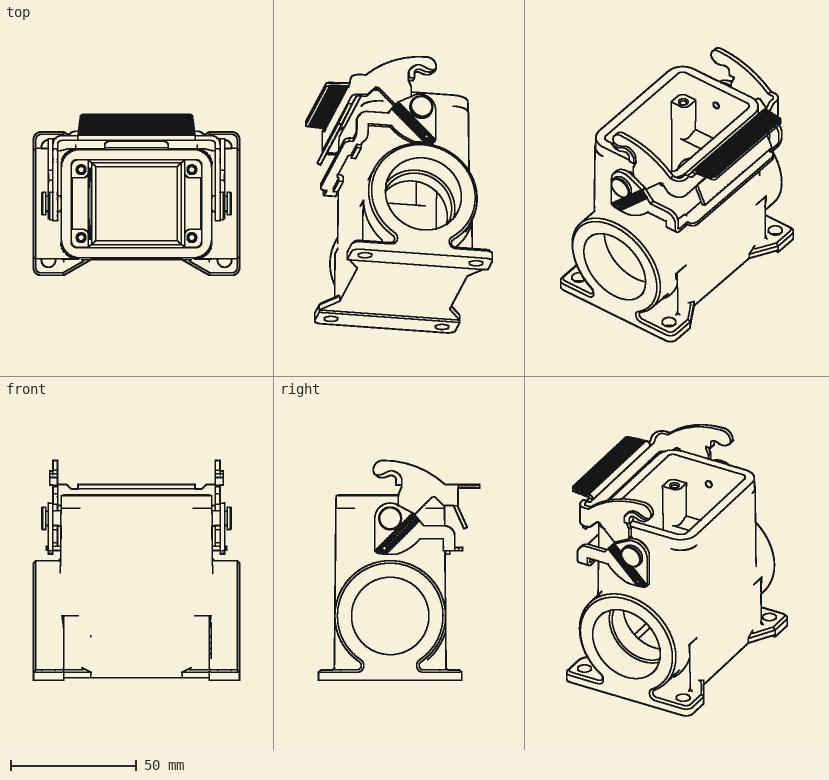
import cadquery as cq
import math



LENGTH = 82.0
BLOCK_HALF_X = 28.9
FOOT_INNER_X = BLOCK_HALF_X
FLANGE_HALF_Y = 28.5
FLANGE_TOP = 4.2
FLANGE_CORNER_R = 3.0
FOOT_WEB_X = 17.7
FOOT_RECESS = 1.0
EDGE_CHAMFER = 1.0
SCREW_X = 35.0
SCREW_Y = 22.5
SCREW_R = 2.75

BODY_CORNER_R = 7.2
COLLAR_CORNER_R = 7.35
BODY_TAPER = 0.55
COLLAR_Z = 68.5
COLLAR_TAPER = 1.5
BODY_TOP = 73.8
RIM_RISE = 0.5
RIM_BASE = BODY_TOP - RIM_RISE

TUBE_Z = 25.6
TUBE_R = 22.0
TUBE_COVER = 0.05
TUBE_ROOT_FILLET = 1.0
BLOCK_ROOT_FILLET = 0.9
NECK_FILLET = 1.7
BORE_R = 15.4
BORE_END_X = 27.5
INNER_BORE_R = 14.1

CAVITY_HALF_X = 26.0
CAVITY_HALF_Y = 17.5
CAVITY_CORNER_R = 2.5
WELL_HALF_X = 19.1
WELL_FOOT_X = 17.8
WELL_FOOT_Y = 16.3
FLOOR_Z = 4.5
FLOOR_CHAMFER = 1.6
LEDGE_WALL_Z = 46.7
LEDGE_SLOPE = 15.0
POST_TOP = 61.8
POST_LENGTH_Y = 7.3
POST_INNER_Y = CAVITY_HALF_Y - POST_LENGTH_Y
POST_EDGE_R = 2.4
POST_HOLE_X = 22.0
POST_HOLE_Y = 13.5
POST_HOLE_R = 1.3
POST_HOLE_DEPTH = 10.0
POST_HOLE_CHAMFER = 0.6
POST_SINK_R = POST_HOLE_R + POST_HOLE_CHAMFER
POST_SINK_ANGLE = 90.0

PLATE = 1.9
HOOK_LEVER_X = 31.3
LOCK_LEVER_X = HOOK_LEVER_X + PLATE
PIVOT_Z = 64.4
PIN_R = 3.05
PIN_NECK_R = 2.9
PIN_HEAD_X = 36.0
PIN_HEAD_T = 1.6
PIN_HEAD_R = 4.5
PIN_HEAD_CHAMFER = 0.3
PIN_TIP_R = 1.4
PIN_TIP_OUT = 0.4

HOOK_TOP = 87.47
LEVER_BACK_Y = 27.0
LEVER_BEND_R = 3.4
BAR_BOTTOM = 69.5
BAR_TOP = 76.1
BAR_CORNER_TOP = 77.9
BAR_CORNER_X = 27.8
BAR_STEP_R = 1.0
BAR_STEP = BAR_CORNER_TOP - BAR_TOP
GRIP_END_Y = 35.5
GRIP_HALF_X = 23.3
GRIP_END_HALF_X = 22.2
GRIP_T = 1.5
GRIP_CORNER_R = 1.2
GRIP_BEND_R = 2.2
TOP_GROOVES = 8
UNDER_GROOVES = 7
GROOVE_PITCH = 1.05
GROOVE_FIRST_Y = 27.5
GROOVE_WIDTH = 0.5
TOP_GROOVE_DEPTH = 0.15
UNDER_GROOVE_DEPTH = 0.3
TAB_HALF_X = 22.0
TAB_T = 1.5
TAB_REACH_Y = 4.2
TAB_DROP = 9.3
HOOK_LIP_OUT = 1.3
LIP_END_Z = 77.6
HOOK_ARCH_END_Y = 21.8
HOOK_ARCH_TOP_Y = -2.8
HOOK_TIP_R = 4.0

HOOK_MOUTH = [(4.55, 80.2), (3.2, 82.2), (0.2, 83.3), (-2.3, 82.3), (-6.4, 82.1)]
HOOK_LIP_INNER = [(-4.7, 80.8), (-3.2, 80.5), (-1.8, 80.7), (0.0, 81.4), (1.7, 81.0), (2.3, 79.8)]
HOOK_FRONT = [(4.55, 77.0), (3.3, 74.1), (3.3, 70.0), (-1.5, 61.5), (-5.0, 59.9), (-5.0, 54.7)]
HOOK_ARM_BOTTOM = (-0.5, 53.2)
HOOK_BACK = [(4.0, 54.7), (4.0, 60.2), (16.6, 72.8), (17.7, 73.0), (21.2, BAR_BOTTOM)]

LOCK_PLATE_BOTTOM = 51.5
LOCK_PLATE_T = 1.4
LOCK_BACK_Y = 25.7
LOCK_LIP_INNER_Y = 21.9
LOCK_PLATE_END_Y = 21.1
LOCK_BEND_R = 3.1
LOCK_BEND_TOP = LOCK_PLATE_BOTTOM + LOCK_BEND_R
LOCK_BOSS_R = 6.1
LOCK_BOSS_START_ANGLE = 57.0
LOCK_ARM_TOP = 61.5
LOCK_ARM_BOTTOM = 56.3
LOCK_ARM_ROUND = [(LOCK_BACK_Y, 57.9), (24.5, 60.2), (21.8, LOCK_ARM_TOP)]
LOCK_BOSS_RAMP = [(13.3, LOCK_ARM_TOP), (9.2, 66.4)]
LOCK_TOE = [(-LOCK_BOSS_R, 51.5), (-5.0, 50.5), (-2.0, 50.1), (2.5, 50.1)]
LOCK_HEEL_MID = (7.8, 52.6)
LOCK_HEEL_END = (11.9, LOCK_ARM_BOTTOM)
LOCK_RELIEF_OUTER_X = 30.0
LOCK_RELIEF_INNER_X = 26.5
LOCK_TONGUE_ROUND_MID = (25.9, 28.3)
LOCK_TONGUE_ROUND_END_Y = 27.2
LOCK_TONGUE_Y = 28.8
LOCK_TONGUE_X = 24.5
LOCK_TONGUE_ROOT_X = 27.0
LOCK_LIP_HALF_X = 24.2
LOCK_LIP_BOTTOM = 50.1
LOCK_LIP_T = 1.8
LOCK_SLOT_X = 12.6
LOCK_SLOT_Y = 24.7
LOCK_SLOT_R = 1.5
SPRING_PIN_Y = -2.3
SPRING_PIN_Z = 52.5
SPRING_PIN_R = 0.85
SPRING_PIN_START = 30.0
SPRING_PIN_END = 35.8
BAND_TOP_Y = 10.5
BAND_TOP_Z = 65.2
BAND_LENGTH = 22.5
BAND_WIDTH = 4.0
BAND_LINES = (-1.9, -1.4, -0.5, 0.5, 1.4, 1.9)
BAND_ANGLE = 45.0
BAND_GROOVE_WIDTH = 0.25
BAND_GROOVE_DEPTH = 0.2

HALF_LENGTH = LENGTH / 2

PICK = 0.1

FILLET_SLACK = 0.001

BODY_HALF_X = 30.4
BODY_HALF_Y = TUBE_R + TUBE_COVER


def box(x0, x1, y0, y1, z0, z1):
    return cq.Workplane("XY").box(x1 - x0, y1 - y0, z1 - z0, centered=False).translate((x0, y0, z0))


def side_profile(x):
    """Sketch plane at X = x whose local axes are Y and Z; extrusion runs toward +X."""
    return cq.Workplane("YZ", origin=(x, 0, 0))


def x_cylinder(radius, x0, x1, y, z):
    return side_profile(x0).center(y, z).circle(radius).extrude(x1 - x0)


def both_sides(solid):
    return solid.union(solid.mirror("YZ"))



def rounded_prism(half_x, half_y, corner_r, z0, z1, taper=0):
    base = cq.Sketch().rect(2 * half_x, 2 * half_y).vertices().fillet(corner_r)
    return cq.Workplane("XY", origin=(0, 0, z0)).placeSketch(base).extrude(z1 - z0, taper=taper)


def make_flange():
    right = [
        (FOOT_WEB_X, BODY_HALF_Y),
        (FOOT_INNER_X, FLANGE_HALF_Y),
        (HALF_LENGTH, FLANGE_HALF_Y),
        (HALF_LENGTH, -FLANGE_HALF_Y),
        (FOOT_INNER_X, -FLANGE_HALF_Y),
        (FOOT_WEB_X, -BODY_HALF_Y),
    ]
    left = [(-x, -y) for x, y in right]
    plate = cq.Workplane("XY").polyline(right + left).close().extrude(FLANGE_TOP)
    for end in ("<X", ">X"):
        plate = plate.faces(end).edges("|Z").fillet(FLANGE_CORNER_R)
    return plate.faces(">Z").edges().chamfer(EDGE_CHAMFER)


def make_tube():
    """Tube on the +X side; its neck flares into the flange through two concave arcs."""
    arc_z = FLANGE_TOP + NECK_FILLET
    centre_distance = TUBE_R + NECK_FILLET
    arc_y = math.sqrt(centre_distance**2 - (TUBE_Z - arc_z) ** 2)
    tangent_y = arc_y * TUBE_R / centre_distance
    tangent_z = TUBE_Z + (arc_z - TUBE_Z) * TUBE_R / centre_distance
    mid_y = arc_y - NECK_FILLET
    neck_bottom = FLANGE_TOP - EDGE_CHAMFER
    tube = (
        side_profile(0)
        .moveTo(-arc_y, neck_bottom)
        .lineTo(-arc_y, FLANGE_TOP)
        .threePointArc((-mid_y, arc_z), (-tangent_y, tangent_z))
        .threePointArc((0, TUBE_Z + TUBE_R), (tangent_y, tangent_z))
        .threePointArc((mid_y, arc_z), (arc_y, FLANGE_TOP))
        .lineTo(arc_y, neck_bottom)
        .close()
        .extrude(HALF_LENGTH)
    )
    return tube.faces(">X").edges("%CIRCLE").chamfer(EDGE_CHAMFER)


def body_shrink(z):
    """How far the drafted walls have moved inward at height z, from the tube axis up."""
    shrink = (min(z, COLLAR_Z) - TUBE_Z) * math.tan(math.radians(BODY_TAPER))
    if z > COLLAR_Z:
        shrink += (z - COLLAR_Z) * math.tan(math.radians(COLLAR_TAPER))
    return shrink


def make_body_section(z0, z1, corner_r, taper):
    shrink = body_shrink(z0)
    return rounded_prism(BODY_HALF_X - shrink, BODY_HALF_Y - shrink, corner_r, z0, z1, taper)


def make_block():
    """Square-cornered lower part; its front and back continue the drafted body walls."""
    foot_y = BODY_HALF_Y - body_shrink(FOOT_RECESS)
    return (
        side_profile(-BLOCK_HALF_X)
        .moveTo(-foot_y, FOOT_RECESS)
        .lineTo(foot_y, FOOT_RECESS)
        .lineTo(BODY_HALF_Y, TUBE_Z)
        .lineTo(-BODY_HALF_Y, TUBE_Z)
        .close()
        .extrude(2 * BLOCK_HALF_X)
    )


def make_rim():
    """Shallow crowned bead around the mouth of the body."""
    shrink = body_shrink(RIM_BASE)
    outer_y = BODY_HALF_Y - shrink
    half_width = (outer_y - CAVITY_HALF_Y) / 2
    path_x = BODY_HALF_X - shrink - half_width
    path_y = outer_y - half_width
    path_r = COLLAR_CORNER_R - (shrink - body_shrink(COLLAR_Z)) - half_width
    path = cq.Workplane("XY", origin=(0, 0, RIM_BASE)).rect(2 * path_x, 2 * path_y).val()
    path = path.fillet2D(path_r, path.Vertices())
    return (
        cq.Workplane("YZ", origin=(0, -path_y, RIM_BASE))
        .moveTo(-half_width, 0)
        .threePointArc((0, RIM_RISE), (half_width, 0))
        .close()
        .sweep(path)
    )


def make_post(side_x, side_y):
    post = box(WELL_HALF_X, CAVITY_HALF_X, POST_INNER_Y, CAVITY_HALF_Y, FLANGE_TOP, POST_TOP)
    post = post.edges("|Z and <X and <Y").fillet(POST_EDGE_R)
    if side_x < 0:
        post = post.mirror("YZ")
    if side_y < 0:
        post = post.mirror("XZ")
    return post


def make_cavity():
    """Mouth with corner posts and sloping ledges, above a drafted well with a chamfered floor."""
    ledge_drop = (CAVITY_HALF_X - WELL_HALF_X) * math.tan(math.radians(LEDGE_SLOPE))
    ledge_low_z = LEDGE_WALL_Z - ledge_drop
    foot_z = FLOOR_Z + FLOOR_CHAMFER
    draft = math.atan2(CAVITY_HALF_Y - WELL_FOOT_Y, COLLAR_Z - foot_z)
    ledge_half_y = CAVITY_HALF_Y - (COLLAR_Z - ledge_low_z) * math.tan(draft)
    mouth = rounded_prism(CAVITY_HALF_X, CAVITY_HALF_Y, CAVITY_CORNER_R, COLLAR_Z, BODY_TOP)
    throat = rounded_prism(
        CAVITY_HALF_X, CAVITY_HALF_Y, CAVITY_CORNER_R, COLLAR_Z, ledge_low_z, math.degrees(draft)
    )
    mouth = mouth.union(throat)
    ledge = (
        cq.Workplane("XZ", origin=(0, CAVITY_HALF_Y, 0))
        .polyline([(WELL_HALF_X, ledge_low_z), (CAVITY_HALF_X, LEDGE_WALL_Z), (CAVITY_HALF_X, ledge_low_z)])
        .close()
        .extrude(2 * CAVITY_HALF_Y)
    )
    mouth = mouth.cut(both_sides(ledge))
    for side_x in (-1, 1):
        for side_y in (-1, 1):
            mouth = mouth.cut(make_post(side_x, side_y))
    well = (
        cq.Workplane("XY", origin=(0, 0, foot_z))
        .rect(2 * WELL_FOOT_X, 2 * WELL_FOOT_Y)
        .workplane(offset=ledge_low_z - foot_z)
        .rect(2 * WELL_HALF_X, 2 * ledge_half_y)
        .loft(ruled=True)
    )
    floor = (
        cq.Workplane("XY", origin=(0, 0, FLOOR_Z))
        .rect(2 * (WELL_FOOT_X - FLOOR_CHAMFER), 2 * (WELL_FOOT_Y - FLOOR_CHAMFER))
        .workplane(offset=FLOOR_CHAMFER)
        .rect(2 * WELL_FOOT_X, 2 * WELL_FOOT_Y)
        .loft(ruled=True)
    )
    return mouth.union(well).union(floor)


def cut_post_holes(body):
    return (
        body.copyWorkplane(cq.Workplane("XY", origin=(0, 0, POST_TOP)))
        .rect(2 * POST_HOLE_X, 2 * POST_HOLE_Y, forConstruction=True)
        .vertices()
        .cskHole(2 * POST_HOLE_R, 2 * POST_SINK_R, POST_SINK_ANGLE, POST_HOLE_DEPTH)
    )


def cut_bores(body):
    """Both tubes are bored; only the -X bore opens into the cavity."""
    bore = x_cylinder(BORE_R, BORE_END_X, HALF_LENGTH, 0, TUBE_Z)
    opening = x_cylinder(INNER_BORE_R, -BORE_END_X, 0, 0, TUBE_Z)
    return body.cut(both_sides(bore)).cut(opening)


def make_block_root():
    """Fillet strip between the +X side of the block and the tube, its neck and the flange."""
    wall = box(0, BLOCK_HALF_X, -LENGTH, LENGTH, 0, LENGTH)
    floor = box(0, HALF_LENGTH, -LENGTH, LENGTH, 0, FLANGE_TOP)
    corner = wall.union(floor).union(make_tube())
    seam = cq.selectors.BoxSelector(
        (BLOCK_HALF_X - PICK, -LENGTH, FLANGE_TOP - PICK),
        (BLOCK_HALF_X + PICK, LENGTH, TUBE_Z + TUBE_R),
    )
    corner = corner.edges(seam).fillet(BLOCK_ROOT_FILLET)
    return corner.intersect(
        box(BLOCK_HALF_X, BLOCK_HALF_X + BLOCK_ROOT_FILLET, -BODY_HALF_Y, BODY_HALF_Y, FLANGE_TOP / 2, TUBE_Z)
    )


def fillet_flange_webs(body):
    """Fillets where the flange meets the front and back of the block."""
    for side in (-1, 1):
        wall_y = side * (BODY_HALF_Y - body_shrink(FLANGE_TOP))
        region = cq.selectors.BoxSelector(
            (-BLOCK_HALF_X, wall_y - PICK, FLANGE_TOP - PICK),
            (BLOCK_HALF_X, wall_y + PICK, FLANGE_TOP + PICK),
        )
        body = body.edges(region).fillet(BLOCK_ROOT_FILLET)
    return body


def fillet_tube_roots(body):
    """Fillets where the tubes meet the drafted body above the block."""
    for side in (-1, 1):
        region = cq.selectors.BoxSelector(
            (side * (BODY_HALF_X - BODY_CORNER_R), -BODY_HALF_Y, TUBE_Z + PICK),
            (side * (BODY_HALF_X + PICK), BODY_HALF_Y, TUBE_Z + TUBE_R + PICK),
        )
        body = body.edges(region).edges("not %LINE").fillet(TUBE_ROOT_FILLET)
    return body


def make_housing():
    body = make_flange().union(both_sides(make_tube())).union(make_block())
    body = fillet_flange_webs(body)
    body = body.union(make_body_section(TUBE_Z, COLLAR_Z, BODY_CORNER_R, BODY_TAPER))
    body = fillet_tube_roots(body)
    body = body.union(both_sides(make_block_root()))
    body = body.union(make_body_section(COLLAR_Z, RIM_BASE, COLLAR_CORNER_R, COLLAR_TAPER))
    body = body.union(make_rim())
    body = body.cut(make_cavity())
    body = cut_post_holes(body)
    body = cut_bores(body)
    body = body.cut(box(-FOOT_INNER_X, FOOT_INNER_X, -LENGTH, LENGTH, 0, FOOT_RECESS))
    screws = (
        cq.Workplane("XY")
        .rect(2 * SCREW_X, 2 * SCREW_Y, forConstruction=True)
        .vertices()
        .circle(SCREW_R)
        .extrude(FLANGE_TOP)
    )
    return body.cut(screws)



def make_hook_plate():
    """Side plate with an arched back, ending in a hook; its lower arm reaches past the pivot."""
    run = HOOK_ARCH_END_Y - HOOK_ARCH_TOP_Y
    drop = HOOK_TOP - BAR_CORNER_TOP
    arch_r = (run**2 + drop**2) / (2 * drop)
    half_angle = math.asin(run / arch_r) / 2
    arch_mid = (
        HOOK_ARCH_TOP_Y + arch_r * math.sin(half_angle),
        HOOK_TOP - arch_r * (1 - math.cos(half_angle)),
    )
    profile = (
        side_profile(HOOK_LEVER_X)
        .moveTo(LEVER_BACK_Y - LEVER_BEND_R, BAR_CORNER_TOP)
        .lineTo(HOOK_ARCH_END_Y, BAR_CORNER_TOP)
        .threePointArc(arch_mid, (HOOK_ARCH_TOP_Y, HOOK_TOP))
        .tangentArcPoint((-HOOK_TIP_R, -HOOK_TIP_R))
        .lineTo(*HOOK_MOUTH[-1])
        .spline(HOOK_MOUTH[-2::-1], includeCurrent=True)
    )
    for point in HOOK_FRONT:
        profile = profile.lineTo(*point)
    profile = profile.threePointArc(HOOK_ARM_BOTTOM, HOOK_BACK[0])
    for point in HOOK_BACK[1:]:
        profile = profile.lineTo(*point)
    profile = profile.lineTo(LEVER_BACK_Y - LEVER_BEND_R, BAR_BOTTOM).close()
    return profile.extrude(PLATE)


def make_hook_lip():
    """Strip bent outward along the hook's mouth."""
    lip = (
        side_profile(HOOK_LEVER_X)
        .moveTo(HOOK_MOUTH[0][0], LIP_END_Z)
        .lineTo(*HOOK_MOUTH[0])
        .spline(HOOK_MOUTH[1:], includeCurrent=True)
        .lineTo(*HOOK_LIP_INNER[0])
        .spline(HOOK_LIP_INNER[1:], includeCurrent=True)
        .lineTo(HOOK_LIP_INNER[-1][0], LIP_END_Z)
        .close()
    )
    return lip.extrude(PLATE + HOOK_LIP_OUT)


def make_crossbar():
    """Bar joining the two hook plates, with rounded bends and raised corners."""
    leg_y = LEVER_BACK_Y - LEVER_BEND_R - PLATE / 2
    inner_y = LEVER_BACK_Y - PLATE
    bar = box(-LOCK_LEVER_X, LOCK_LEVER_X, leg_y, LEVER_BACK_Y, BAR_BOTTOM, BAR_CORNER_TOP)
    bar = bar.edges("|Z and >Y").fillet(LEVER_BEND_R)
    hollow = box(-HOOK_LEVER_X, HOOK_LEVER_X, 0, inner_y, BAR_BOTTOM, BAR_CORNER_TOP)
    hollow = hollow.edges("|Z and >Y").fillet(LEVER_BEND_R - PLATE)
    top_x = BAR_CORNER_X
    low_x = BAR_CORNER_X - BAR_STEP
    dip = (
        cq.Workplane("XZ", origin=(0, LEVER_BACK_Y, 0))
        .polyline([(-top_x, BAR_CORNER_TOP), (top_x, BAR_CORNER_TOP), (low_x, BAR_TOP), (-low_x, BAR_TOP)])
        .close()
        .extrude(LEVER_BACK_Y)
    )
    dip = dip.edges("|Y and <Z").fillet(BAR_STEP_R)
    shoulders = cq.selectors.BoxSelector(
        (-top_x - PICK, 0, BAR_CORNER_TOP - PICK), (top_x + PICK, LENGTH, BAR_CORNER_TOP + PICK)
    )
    bar = bar.cut(dip).edges("|Y").edges(shoulders).fillet(BAR_STEP_R)
    return bar.cut(hollow)


def make_grip():
    """Grooved finger plate bent outward from the top of the crossbar."""
    inner_y = LEVER_BACK_Y - PLATE
    under_z = BAR_CORNER_TOP - GRIP_T
    grip = (
        side_profile(-GRIP_HALF_X)
        .moveTo(inner_y, BAR_BOTTOM)
        .lineTo(inner_y, BAR_CORNER_TOP - GRIP_BEND_R)
        .tangentArcPoint((GRIP_BEND_R, GRIP_BEND_R))
        .lineTo(GRIP_END_Y, BAR_CORNER_TOP)
        .lineTo(GRIP_END_Y, under_z)
        .lineTo(LEVER_BACK_Y, under_z)
        .lineTo(LEVER_BACK_Y, BAR_BOTTOM)
        .close()
        .extrude(2 * GRIP_HALF_X)
    )
    outline = (
        cq.Workplane("XY", origin=(0, 0, BAR_BOTTOM))
        .polyline(
            [
                (-GRIP_HALF_X, inner_y),
                (GRIP_HALF_X, inner_y),
                (GRIP_HALF_X, LEVER_BACK_Y),
                (GRIP_END_HALF_X, GRIP_END_Y),
                (-GRIP_END_HALF_X, GRIP_END_Y),
                (-GRIP_HALF_X, LEVER_BACK_Y),
            ]
        )
        .close()
        .extrude(BAR_CORNER_TOP - BAR_BOTTOM)
    )
    outline = outline.faces(">Y").edges("|Z").fillet(GRIP_CORNER_R)
    grip = grip.intersect(outline)
    grip = cut_grooves(grip, TOP_GROOVES, BAR_CORNER_TOP - TOP_GROOVE_DEPTH, TOP_GROOVE_DEPTH)
    return cut_grooves(grip, UNDER_GROOVES, under_z, UNDER_GROOVE_DEPTH)


def cut_grooves(grip, count, bottom_z, depth):
    for index in range(count):
        y = GROOVE_FIRST_Y + index * GROOVE_PITCH
        groove = box(
            -GRIP_HALF_X,
            GRIP_HALF_X,
            y - GROOVE_WIDTH / 2,
            y + GROOVE_WIDTH / 2,
            bottom_z,
            bottom_z + depth,
        )
        grip = grip.cut(groove)
    return grip


def make_tab():
    """Flap slanting down and outward from the underside of the crossbar."""
    length = math.hypot(TAB_REACH_Y, TAB_DROP)
    end_y = TAB_T * TAB_DROP / length
    end_z = TAB_T * TAB_REACH_Y / length
    inner_y = LEVER_BACK_Y - PLATE
    tip = (inner_y + TAB_REACH_Y, BAR_BOTTOM - TAB_DROP)
    return (
        side_profile(-TAB_HALF_X)
        .polyline(
            [
                (inner_y, BAR_BOTTOM),
                tip,
                (tip[0] + end_y, tip[1] + end_z),
                (inner_y + end_y, BAR_BOTTOM + end_z),
            ]
        )
        .close()
        .extrude(2 * TAB_HALF_X)
    )


def make_hook_lever():
    sides = both_sides(make_hook_plate().union(make_hook_lip()))
    return make_crossbar().union(sides).union(make_grip()).union(make_tab())



def make_lock_plate():
    """Side plate with a round boss about the pivot and an arm toward the back."""

    def on_boss(degrees):
        angle = math.radians(degrees)
        return LOCK_BOSS_R * math.cos(angle), PIVOT_Z + LOCK_BOSS_R * math.sin(angle)

    boss_mid_angle = (LOCK_BOSS_START_ANGLE + 180) / 2
    profile = (
        side_profile(LOCK_LEVER_X)
        .moveTo(LOCK_BACK_Y, LOCK_BEND_TOP)
        .lineTo(*LOCK_ARM_ROUND[0])
        .threePointArc(*LOCK_ARM_ROUND[1:])
        .lineTo(*LOCK_BOSS_RAMP[0])
        .lineTo(*LOCK_BOSS_RAMP[1])
        .lineTo(*on_boss(LOCK_BOSS_START_ANGLE))
        .threePointArc(on_boss(boss_mid_angle), on_boss(180))
    )
    for point in LOCK_TOE:
        profile = profile.lineTo(*point)
    profile = (
        profile.threePointArc(LOCK_HEEL_MID, LOCK_HEEL_END)
        .lineTo(LOCK_PLATE_END_Y, LOCK_ARM_BOTTOM)
        .lineTo(LOCK_PLATE_END_Y, LOCK_BEND_TOP)
        .close()
    )
    plate = profile.extrude(PLATE)
    return cut_band(plate)


def cut_band(plate):
    """Engraves the slanted band: fine parallel grooves running down to the spring pin, closed on top."""
    outer_x = LOCK_LEVER_X + PLATE
    face = (
        side_profile(outer_x - BAND_GROOVE_DEPTH)
        .center(BAND_TOP_Y, BAND_TOP_Z)
        .transformed(rotate=(0, 0, BAND_ANGLE))
    )
    for offset in BAND_LINES:
        groove = face.center(-BAND_LENGTH / 2, offset).rect(BAND_LENGTH, BAND_GROOVE_WIDTH)
        plate = plate.cut(groove.extrude(BAND_GROOVE_DEPTH))
    end_groove = face.rect(BAND_GROOVE_WIDTH, BAND_WIDTH).extrude(BAND_GROOVE_DEPTH)
    return plate.cut(end_groove)


def make_cross_plate():
    """Plate bent up into both lock plates, with an outer tongue, a bent lip and a slot."""
    top = LOCK_PLATE_BOTTOM + LOCK_PLATE_T
    half_x = LOCK_LEVER_X + PLATE
    half_outline = (
        cq.Workplane("XY", origin=(0, 0, LOCK_PLATE_BOTTOM))
        .moveTo(0, LOCK_TONGUE_Y)
        .lineTo(LOCK_TONGUE_X, LOCK_TONGUE_Y)
        .threePointArc(LOCK_TONGUE_ROUND_MID, (LOCK_TONGUE_ROOT_X, LOCK_TONGUE_ROUND_END_Y))
        .lineTo(LOCK_TONGUE_ROOT_X, LOCK_BACK_Y)
        .lineTo(half_x, LOCK_BACK_Y)
        .lineTo(half_x, LOCK_PLATE_END_Y)
        .lineTo(LOCK_RELIEF_OUTER_X, LOCK_PLATE_END_Y)
        .lineTo(LOCK_RELIEF_INNER_X, LOCK_LIP_INNER_Y)
        .lineTo(0, LOCK_LIP_INNER_Y)
        .close()
        .extrude(LOCK_BEND_R)
    )
    outline = both_sides(half_outline)
    trough = box(
        -LOCK_LEVER_X, LOCK_LEVER_X, 0, LOCK_TONGUE_Y, top, LOCK_BEND_TOP
    )
    trough = trough.edges("|Y and <Z").fillet(LOCK_BEND_R - PLATE)
    plate = outline.cut(trough)
    plate = plate.edges("|Y and <Z").edges("<X or >X").fillet(LOCK_BEND_R - FILLET_SLACK)
    lip_end_y = LOCK_LIP_INNER_Y + LOCK_LIP_T
    span = (-LOCK_LIP_HALF_X, LOCK_LIP_HALF_X, LOCK_LIP_INNER_Y, lip_end_y)
    lip = box(*span, LOCK_LIP_BOTTOM, top)
    lip = lip.edges("|X and >Z and <Y").fillet(LOCK_PLATE_T)
    slot = box(-LOCK_SLOT_X, LOCK_SLOT_X, 0, LOCK_SLOT_Y, LOCK_LIP_BOTTOM, top)
    slot = slot.edges("|Z and >Y").fillet(LOCK_SLOT_R)
    return plate.cut(box(*span, LOCK_PLATE_BOTTOM, top)).union(lip).cut(slot)


def make_lock_lever():
    return make_cross_plate().union(both_sides(make_lock_plate()))



def make_pivot_pin():
    """Headed pin through both levers, with its tip showing inside the housing wall."""
    tip_x = CAVITY_HALF_X - PIN_TIP_OUT
    head_end = PIN_HEAD_X + PIN_HEAD_T
    tip = x_cylinder(PIN_TIP_R, tip_x, HOOK_LEVER_X, 0, PIVOT_Z)
    shaft = x_cylinder(PIN_R, (CAVITY_HALF_X + BODY_HALF_X) / 2, LOCK_LEVER_X, 0, PIVOT_Z)
    neck = x_cylinder(PIN_NECK_R, LOCK_LEVER_X, PIN_HEAD_X, 0, PIVOT_Z)
    head = x_cylinder(PIN_HEAD_R, PIN_HEAD_X, head_end, 0, PIVOT_Z)
    head = head.faces(">X").edges().chamfer(PIN_HEAD_CHAMFER)
    return tip.union(shaft).union(neck).union(head)


def make_spring_pin():
    return x_cylinder(SPRING_PIN_R, SPRING_PIN_START, SPRING_PIN_END, SPRING_PIN_Y, SPRING_PIN_Z)


pins = both_sides(make_pivot_pin().union(make_spring_pin()))
result = make_housing().union(make_hook_lever()).union(make_lock_lever()).union(pins)